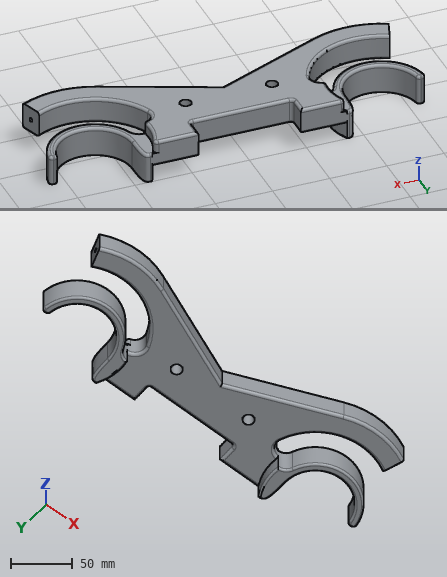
import cadquery as cq
import math

total_height = 38.0
plate_thickness = 23.0
hook_height = 27.3
plate_bottom = total_height - plate_thickness

back_y = 24.0
apex_y = -33.2
hook_center_x = 125.3
hook_inner_radius = 32.0
hook_outer_radius = 39.5
hook_tip_y = -2.0
step_radius = 46.7
arm_inner_radius = 59.0
arm_outer_radius = 79.0
slot_end_angle = 22.0
arm_end_inner_angle = 118.5
arm_end_outer_angle = 116.1
post_corner_width = 6.2
post_corner_bulge = 5.3
post_wall_bulge = 18.0

notch_half_width = 44.7
notch_depth = 18.0
screw_hole_diameter = 10.0
screw_hole_x = 37.8
screw_hole_y = -21.0
pin_hole_diameter = 3.3
pin_hole_depth = 10.0

edge_radius = 2.5
hook_base_radius = 2.0
step_corner_radius = 3.3
hook_tip_radius = 3.3


def polar(radius, degrees):
    """Point around the hook centre: 0 degrees faces the middle of the part, 90 degrees the front."""
    angle = math.radians(degrees)
    return hook_center_x - radius * math.cos(angle), -radius * math.sin(angle)


slot_mid_radius = (hook_outer_radius + arm_inner_radius) / 2
slot_end_radius = (arm_inner_radius - hook_outer_radius) / 2
slot_hook_point = polar(hook_outer_radius, slot_end_angle)
slot_arm_point = polar(arm_inner_radius, slot_end_angle)

step_back_point = (hook_center_x - math.sqrt(step_radius**2 - back_y**2), back_y)
step_slot_spread = math.acos(
    (step_radius**2 + slot_mid_radius**2 - slot_end_radius**2) / (2 * step_radius * slot_mid_radius)
)
step_slot_point = polar(step_radius, slot_end_angle - math.degrees(step_slot_spread))
step_mid_point = polar(step_radius, -10)


def slot_end(degrees):
    """Point on the slot end circle; 0 degrees faces the hook centre, 90 degrees the blind end."""
    center_x, center_y = polar(slot_mid_radius, slot_end_angle)
    angle = math.radians(degrees + slot_end_angle)
    return (
        center_x + slot_end_radius * math.cos(angle),
        center_y + slot_end_radius * math.sin(angle),
    )


apex_distance = math.hypot(hook_center_x, apex_y)
apex_angle = math.atan2(-apex_y, hook_center_x)
arm_tangent_angle = math.degrees(math.acos(arm_outer_radius / apex_distance) + apex_angle)
arm_tangent_point = polar(arm_outer_radius, arm_tangent_angle)

arm_end_inner = polar(arm_inner_radius, arm_end_inner_angle)
arm_end_outer = polar(arm_outer_radius, arm_end_outer_angle)
arm_end_middle = (
    (arm_end_inner[0] + arm_end_outer[0]) / 2,
    (arm_end_inner[1] + arm_end_outer[1]) / 2,
)


def mirrored_pair(half):
    """A +X side body joined with its mirror image."""
    return half.union(half.mirror("YZ"))


def both_sides(*points):
    """The given plan points together with their mirror images."""
    return [(side * x, y) for x, y in points for side in (-1, 1)]


touch_tolerance = 0.03


def edges_at(body, point, height):
    """Edges passing through a plan point at the given height."""
    probe = cq.Vertex.makeVertex(*point, height)
    return body.edges().filter(lambda edge: edge.distance(probe) < touch_tolerance)


def half_layer(bottom, height):
    """Plain layer of the plate over the +X half."""
    return (
        cq.Workplane("XY", origin=(0, 0, bottom))
        .moveTo(0, apex_y)
        .lineTo(*arm_tangent_point)
        .threePointArc(polar(arm_outer_radius, 90), arm_end_outer)
        .lineTo(*arm_end_inner)
        .threePointArc(polar(arm_inner_radius, 60), slot_arm_point)
        .threePointArc(slot_end(90), step_slot_point)
        .threePointArc(step_mid_point, step_back_point)
        .lineTo(notch_half_width, back_y)
        .lineTo(notch_half_width, back_y - notch_depth)
        .lineTo(0, back_y - notch_depth)
        .close()
        .extrude(height)
    )


def full_layer(bottom, height, rounded_corners):
    """Layer of the whole plate, with plan corners (x, y, radius) rounded on both sides."""
    layer = mirrored_pair(half_layer(bottom, height)).clean()
    for side in (-1, 1):
        for x, y, radius in rounded_corners:
            layer = edges_at(layer, (side * x, y), bottom + height / 2).fillet(radius)
    return layer


def round_rim(body, height, radius, sharp_points):
    """Round the rim edges at one height, except those passing through the given plan points."""
    probes = [cq.Vertex.makeVertex(x, y, height) for x, y in sharp_points]

    def is_rounded(edge):
        box = edge.BoundingBox()
        at_height = max(abs(box.zmin - height), abs(box.zmax - height)) < touch_tolerance
        return at_height and all(edge.distance(probe) > touch_tolerance for probe in probes)

    return body.edges().filter(is_rounded).fillet(radius)


def plate():
    """Plate in two layers: the step corners are rounded only where they stand above the hooks."""
    notch_corner = (notch_half_width, back_y - notch_depth, edge_radius)
    lower = full_layer(plate_bottom, hook_height - plate_bottom, [notch_corner])
    lower = round_rim(lower, plate_bottom, edge_radius, both_sides(arm_end_middle, step_mid_point))
    step_corners = [(*point, step_corner_radius) for point in (step_back_point, step_slot_point)]
    upper = full_layer(hook_height, total_height - hook_height, [notch_corner, *step_corners])
    upper = round_rim(upper, total_height, edge_radius, both_sides(arm_end_middle))
    return lower.union(upper)


def hook():
    """Hook on the +X side with the thick post that joins it to the plate."""
    inner_wall_x = hook_center_x - hook_inner_radius
    tip_inner_x = hook_center_x + math.sqrt(hook_inner_radius**2 - hook_tip_y**2)
    tip_outer_x = hook_center_x + math.sqrt(hook_outer_radius**2 - hook_tip_y**2)
    body = (
        cq.Workplane("XY")
        .moveTo(*step_back_point)
        .lineTo(inner_wall_x - post_corner_width, back_y)
        .bezier(
            [
                (inner_wall_x - post_corner_width + post_corner_bulge, back_y),
                (inner_wall_x, post_wall_bulge),
                (inner_wall_x, 0),
            ],
            includeCurrent=True,
        )
        .threePointArc(polar(hook_inner_radius, 90), (tip_inner_x, hook_tip_y))
        .lineTo(tip_outer_x, hook_tip_y)
        .threePointArc(polar(hook_outer_radius, 90), slot_hook_point)
        .threePointArc(slot_end(30), step_slot_point)
        .threePointArc(step_mid_point, step_back_point)
        .close()
        .extrude(hook_height)
    )
    for tip_x in (tip_inner_x, tip_outer_x):
        body = edges_at(body, (tip_x, hook_tip_y), hook_height / 2).fillet(hook_tip_radius)
    body = round_rim(body, hook_height, edge_radius, [step_mid_point])
    return round_rim(body, 0, hook_base_radius, [])


def pin_hole():
    """Blind hole into the middle of the +X arm end face, square to it."""
    inward = cq.Vector(arm_end_outer[1] - arm_end_inner[1], arm_end_inner[0] - arm_end_outer[0], 0)
    mouth = cq.Vector(*arm_end_middle, plate_bottom + plate_thickness / 2)
    return cq.Workplane(
        cq.Solid.makeCylinder(pin_hole_diameter / 2, pin_hole_depth, mouth, inward.normalized())
    )


def screw_hole():
    """Through hole on the +X side."""
    return (
        cq.Workplane("XY")
        .center(screw_hole_x, screw_hole_y)
        .circle(screw_hole_diameter / 2)
        .extrude(total_height)
    )


result = plate().union(mirrored_pair(hook()))
result = result.cut(mirrored_pair(screw_hole())).cut(mirrored_pair(pin_hole()))